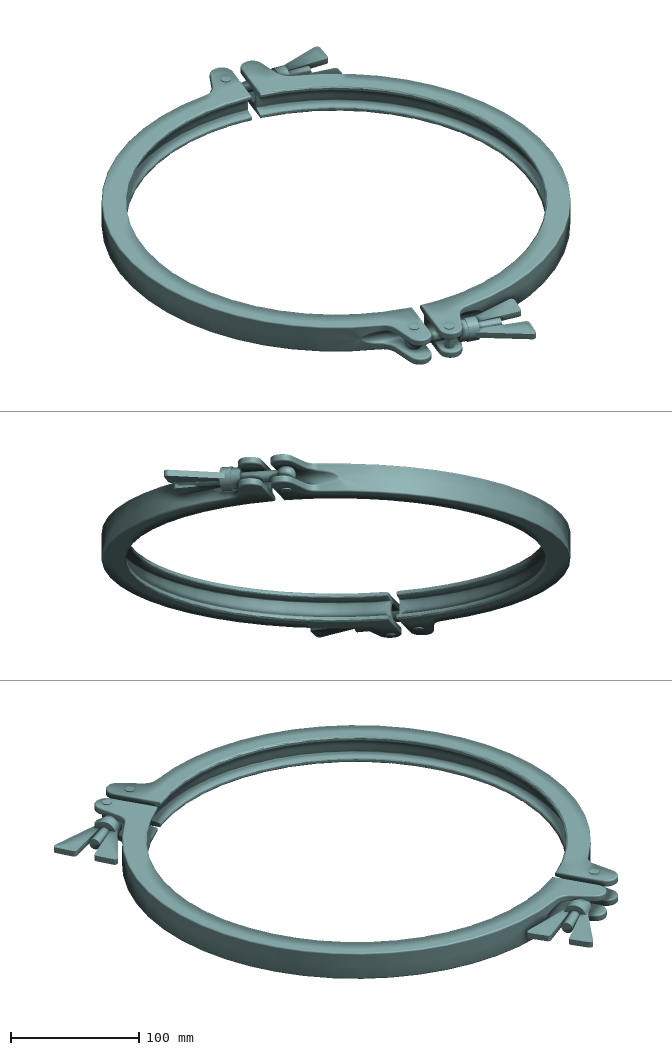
import cadquery as cq
import math


outer_radius = 183.2
bore_radius = 164.0
ring_height = 23.5
half_gap = 3.5
edge_round = 1.5
groove_floor_radius = 172.0
groove_mouth_height = 15.5
groove_floor_height = 13.0
groove_corner_radius = 1.5
groove_mouth_round = 1.0

lug_end_x = 212.5
lug_nose_radius = 9.5
lug_slope = math.radians(17)
lug_blend_radius = 12.5
lug_corner_y = 31.5
slot_height = 11.5
slot_root_x = 176.0
slot_length = 67
slot_overrun = 4.5
slot_rim_round = 1.5
selection_margin = 0.22

pin_radius = 3.8
pin_length = 25.0
hinge_x = 193.0
hinge_y = -13.5
retainer_x = 203.0
retainer_y = 12.0

bolt_radius = 4.5
bolt_length = 71.5
bolt_tilt = 2.6
eye_radius = 7.5
eye_face_radius = 5.0

nut_seat = 35.5
nut_step = 42.5
nut_top = 51.5
nut_collar_radius = 8.5
nut_body_radius = 9.5
wing_thickness = 5.0
wing_top = 92.5
wing_root = 47.5
wing_inner_root = 4.5
wing_inner_tip = 7.5
wing_outer_tip = 28.0
wing_corner_radius = 2.5

SIDES = (-1, 1)


def lug_blank(side):
    """Tapered lug with a round nose, running from inside the ring wall to the tip."""
    nose_x = lug_end_x - lug_nose_radius
    nose_y = half_gap + lug_nose_radius
    tangent_x = nose_x + lug_nose_radius * math.sin(lug_slope)
    tangent_y = nose_y + lug_nose_radius * math.cos(lug_slope)
    root_x = (bore_radius + outer_radius) / 2
    root_y = tangent_y + (tangent_x - root_x) * math.tan(lug_slope)
    mid_angle = -lug_slope / 2
    nose_tip = (
        nose_x + lug_nose_radius * math.cos(mid_angle),
        nose_y + lug_nose_radius * math.sin(mid_angle),
    )
    return (
        cq.Workplane("XY", origin=(0, 0, -ring_height / 2))
        .moveTo(side * root_x, half_gap)
        .lineTo(side * nose_x, half_gap)
        .threePointArc((side * nose_tip[0], nose_tip[1]), (side * tangent_x, tangent_y))
        .lineTo(side * root_x, root_y)
        .close()
        .extrude(ring_height)
    )


def blank_half():
    """Half ring on the +Y side with both lugs, blended and rounded."""
    keep_size = 2 * lug_end_x
    keep = (
        cq.Workplane("XY")
        .box(keep_size, keep_size, ring_height)
        .translate((0, half_gap + keep_size / 2, 0))
    )
    half = cq.Workplane("XY").circle(outer_radius).extrude(ring_height / 2, both=True).intersect(keep)
    for side in SIDES:
        half = half.union(lug_blank(side))
    for side in SIDES:
        corner = cq.NearestToPointSelector((side * outer_radius, lug_corner_y, 0))
        half = half.edges(corner).fillet(lug_blend_radius)
    bore = cq.Workplane("XY").circle(bore_radius).extrude(ring_height / 2, both=True)
    return half.cut(bore).faces("<Z or >Z").edges().fillet(edge_round)


def groove():
    """Tapered groove in the bore that grips the flanges."""
    return (
        cq.Workplane("XZ")
        .moveTo(0, -groove_mouth_height / 2)
        .lineTo(bore_radius, -groove_mouth_height / 2)
        .lineTo(groove_floor_radius, -groove_floor_height / 2)
        .lineTo(groove_floor_radius, groove_floor_height / 2)
        .lineTo(bore_radius, groove_mouth_height / 2)
        .lineTo(0, groove_mouth_height / 2)
        .close()
        .revolve(360, (0, 0), (0, 1))
        .faces("%CYLINDER")
        .edges("%CIRCLE")
        .fillet(groove_corner_radius)
    )


def bolt_slot(side):
    """Round-rooted slot through the lug, splitting it into two plates."""
    root_radius = slot_height / 2
    root_centre = slot_root_x + root_radius
    width = lug_end_x - root_centre + slot_overrun
    root = cq.Workplane("XZ").center(side * root_centre, 0).circle(root_radius).extrude(-slot_length)
    mouth = (
        cq.Workplane("XZ")
        .center(side * (root_centre + width / 2), 0)
        .rect(width, slot_height)
        .extrude(-slot_length)
    )
    return root.union(mouth)


def is_groove_mouth(edge):
    """True for the bore edges where the groove opens."""
    on_bore = abs(edge.radius() - bore_radius) < selection_margin
    return on_bore and abs(edge.Center().z) < groove_mouth_height / 2 + selection_margin


def slotted_half():
    """Half ring with both bolt slots, their rims rounded, and the flange groove."""
    rim_height = slot_height / 2 + selection_margin
    half = blank_half()
    for side in SIDES:
        half = half.cut(bolt_slot(side))
        inner_corner = (side * bore_radius, 0, -rim_height)
        outer_corner = (side * (lug_end_x + slot_overrun), slot_length, rim_height)
        rim = cq.selectors.BoxSelector(inner_corner, outer_corner)
        half = half.edges(rim - cq.selectors.StringSyntaxSelector("|Y")).fillet(slot_rim_round)
    return half.cut(groove()).edges("%CIRCLE").filter(is_groove_mouth).fillet(groove_mouth_round)


def pin(x, y):
    """Pin through both lug plates, standing slightly proud of them."""
    return cq.Workplane("XY").center(x, y).circle(pin_radius).extrude(pin_length / 2, both=True)


def place_on_hinge(shape, side):
    """Tilt a shape built along +Y outwards and move it onto a hinge pin."""
    return shape.rotate((0, 0, 0), (0, 0, 1), -side * bolt_tilt).translate((side * hinge_x, hinge_y, 0))


def rod(radius, start, end):
    """Cylinder along +Y between two distances from the hinge pin."""
    return cq.Workplane("XZ", origin=(0, start, 0)).circle(radius).extrude(start - end)


def swing_bolt():
    """Round bolt with a barrel-shaped eye that fills the slot around the hinge pin."""
    eye = (
        cq.Workplane("XZ")
        .moveTo(0, -slot_height / 2)
        .lineTo(eye_face_radius, -slot_height / 2)
        .threePointArc((eye_radius, 0), (eye_face_radius, slot_height / 2))
        .lineTo(0, slot_height / 2)
        .close()
        .revolve(360, (0, 0), (0, 1))
    )
    return eye.union(rod(bolt_radius, 0, bolt_length))


def wing(side):
    """Flat wing flaring outwards from the nut body, its tip corners rounded."""
    return (
        cq.Workplane("XY")
        .polyline([
            (side * wing_inner_root, wing_root),
            (side * nut_body_radius, wing_root),
            (side * wing_outer_tip, wing_top),
            (side * wing_inner_tip, wing_top),
        ])
        .close()
        .extrude(wing_thickness / 2, both=True)
        .edges("|Z and >Y")
        .fillet(wing_corner_radius)
    )


def nut_barrel():
    """Stepped round body of the wing nut, also the shape of its seat in the catch lug."""
    return rod(nut_collar_radius, nut_seat, nut_step).union(rod(nut_body_radius, nut_step, nut_top))


def wing_nut():
    """Stepped round nut with a wing on either side."""
    nut = nut_barrel()
    for side in SIDES:
        nut = nut.union(wing(side))
    return nut


def make_hinge_half():
    """Half ring on the -Y side, joined to its pins, bolts and wing nuts."""
    half = slotted_half().mirror("XZ")
    for side in SIDES:
        half = half.union(pin(side * hinge_x, hinge_y))
        half = half.union(place_on_hinge(swing_bolt().union(wing_nut()), side))
    return half


def make_catch_half():
    """Half ring on the +Y side, with nut seats and one retaining pin at the +X lug."""
    half = slotted_half()
    for side in SIDES:
        half = half.cut(place_on_hinge(nut_barrel(), side))
    return half.union(pin(retainer_x, retainer_y))


hinge_half = make_hinge_half()
catch_half = make_catch_half()

result = cq.Compound.makeCompound([hinge_half.val(), catch_half.val()])